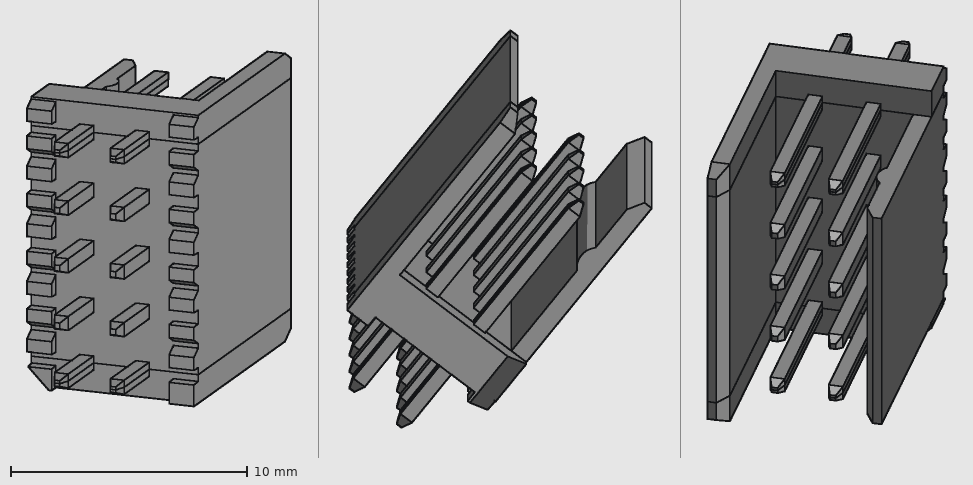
import cadquery as cq


length = 14.1
width = 7.6
height = 12.7

columns = 2
rows = 5
pitch = height / rows
pin_width = 0.62
pin_tip_width = 0.25
pin_tip_length = 0.5
pin_back = 12.49
column_places = [(i - (columns - 1) / 2) * pitch for i in range(columns)]
row_places = [(i - (rows - 1) / 2) * pitch for i in range(rows)]

base_front = 3.4
base_back = 5.5
wall_thickness = 0.8
lead_in_depth = 0.41
lead_in_length = 0.7
corner_chamfer = 1.0

latch_middle = 10.63
latch_length = 1.27
latch_height = 0.27

rib_width = 1.13
rib_front = 2.9
rib_foot_start = 0.3
rib_crest_start = 0.32
rib_crest_end = 0.89
rib_foot_end = 1.17

left = -width / 2
right = width / 2
bottom = -height / 2
top = height / 2
lower_split = row_places[0]
upper_split = row_places[-1]


def block(x_range, y_range, z_range):
    """Box between two limits on each axis."""
    size = [high - low for low, high in (x_range, y_range, z_range)]
    corner = (x_range[0], y_range[0], z_range[0])
    return cq.Workplane("XY").box(*size, centered=False).translate(corner)


def pin(x, z):
    """Square pin along Y with a tapered tip at each end."""

    def tip(y, direction):
        plane = cq.Plane(origin=(x, y, z), xDir=(1, 0, 0), normal=(0, direction, 0))
        return (
            cq.Workplane(plane)
            .rect(pin_width, pin_width)
            .workplane(offset=pin_tip_length)
            .rect(pin_tip_width, pin_tip_width)
            .loft(ruled=True)
        )

    half = pin_width / 2
    shank_front = pin_tip_length
    shank_back = pin_back - pin_tip_length
    shank = block((x - half, x + half), (shank_front, shank_back), (z - half, z + half))
    return shank.union(tip(shank_front, -1)).union(tip(shank_back, 1))


def right_wall():
    """Full-height wall, bevelled at its back end on the inside, the top and the bottom."""
    inside = right - wall_thickness
    bevel_start = length - lead_in_length
    outline = [
        (inside, base_front),
        (right, base_front),
        (right, length),
        (inside + lead_in_depth, length),
        (inside, bevel_start),
    ]
    wall = cq.Workplane("XY", origin=(0, 0, bottom)).polyline(outline).close().extrude(height)
    side_outline = [
        (base_front, bottom),
        (bevel_start, bottom),
        (length, bottom + lead_in_depth),
        (length, top - lead_in_depth),
        (bevel_start, top),
        (base_front, top),
    ]
    side = cq.Workplane("YZ", origin=(inside, 0, 0)).polyline(side_outline).close().extrude(wall_thickness)
    return wall.intersect(side)


def left_wall():
    """Wall of the middle module only, with a rounded latch ridge on its inside."""
    inside = left + wall_thickness
    return (
        cq.Workplane("XY", origin=(0, 0, lower_split))
        .moveTo(left, base_front)
        .lineTo(inside, base_front)
        .lineTo(inside, latch_middle - latch_length / 2)
        .threePointArc((inside + latch_height, latch_middle), (inside, latch_middle + latch_length / 2))
        .lineTo(inside, length - lead_in_length)
        .lineTo(inside - lead_in_depth, length)
        .lineTo(left, length)
        .close()
        .extrude(upper_split - lower_split)
    )


def rib(x_start, z, direction, crest_end, foot_end):
    """Standoff rib above (1) or below (-1) a pin row, from a drafted flank next to the pins outwards."""
    outline = [
        (base_front, z + direction * rib_foot_start),
        (rib_front, z + direction * rib_crest_start),
        (rib_front, z + direction * crest_end),
        (base_front, z + direction * foot_end),
    ]
    return cq.Workplane("YZ", origin=(x_start, 0, 0)).polyline(outline).close().extrude(rib_width)


def ribs(x_start):
    """One column of ribs with sloped outer flanks, but the lowest rib runs down to the bottom face."""
    bottom_margin = lower_split - bottom
    column = rib(x_start, lower_split, -1, bottom_margin, bottom_margin)
    for z in row_places:
        column = column.union(rib(x_start, z, 1, rib_crest_end, rib_foot_end))
    for z in row_places[1:]:
        column = column.union(rib(x_start, z, -1, rib_crest_end, rib_foot_end))
    return column


def corner_cutter():
    """Prism that bevels the bottom left corner of the base and its rib."""
    outline = [(left, bottom), (left + corner_chamfer, bottom), (left, bottom + corner_chamfer)]
    return cq.Workplane("XZ", origin=(0, base_back, 0)).polyline(outline).close().extrude(base_back - rib_front)


def header():
    """Whole header before it is divided into modules."""
    shape = block((left, right), (base_front, base_back), (bottom, top))
    shape = shape.union(right_wall()).union(left_wall())
    for x_start in (left, right - rib_width):
        shape = shape.union(ribs(x_start))
    shape = shape.cut(corner_cutter())
    for x in column_places:
        for z in row_places:
            shape = shape.union(pin(x, z))
    return shape


def module(whole, z_low, z_high):
    """Solid part of the header between two levels."""
    return whole.intersect(block((left, right), (0, length), (z_low, z_high))).solids().val()


whole_header = header()
bottom_end = module(whole_header, bottom, lower_split)
middle_module = module(whole_header, lower_split, upper_split)
top_end = module(whole_header, upper_split, top)

result = cq.Compound.makeCompound([bottom_end, middle_module, top_end])